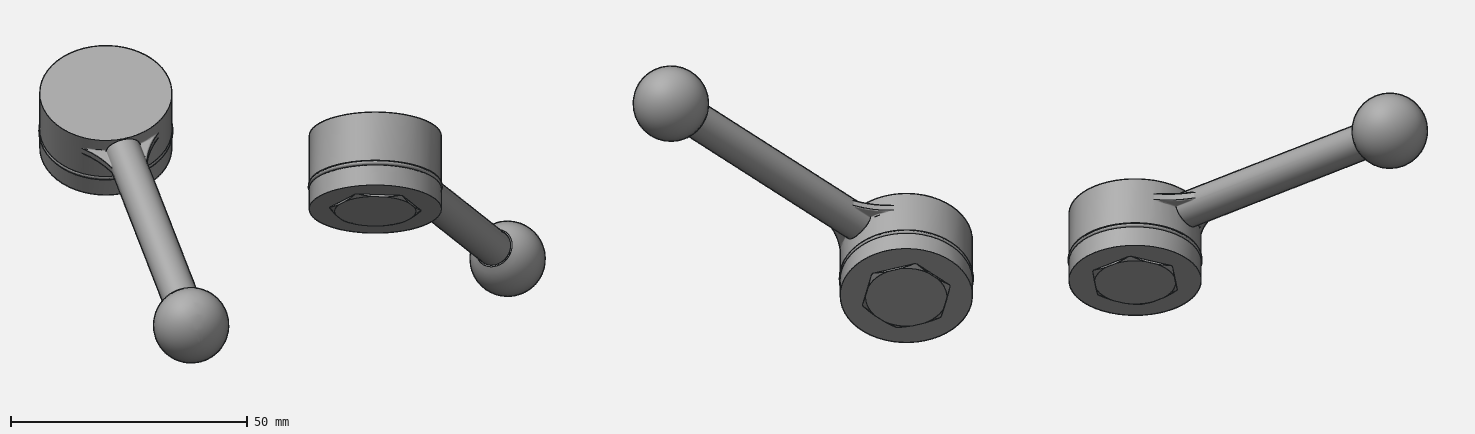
import cadquery as cq
import math

hub_radius = 28.0 / 2
hub_bottom_z = 0.5
hub_top_z = 17.1
ring_outer_radius = 28.4 / 2
ring_bottom_z = 5.1
ring_top_z = 6.15

hex_sides = 6
hex_across_flats = 17.0
hex_end_radius = 8.6
hex_chamfer_angle = 25.0
hex_height = 3.0

arm_radius = 7.7 / 2
ball_radius = 8.0
ball_face_radius = 8.38 / 2
overall_length = 89.14
overall_height = 21.0
arm_axis_z = overall_height - ball_radius
ball_center_x = overall_length - ring_outer_radius - ball_radius

web_thickness = 2.0
web_edge_radius = 0.3
web_joint_radius = 0.25
web_arc_radius = 20.0
web_hub_x = 11.2
web_arm_x = 18.4
web_overlap = 0.8


def make_hub():
    """Revolve the hub profile with the half-round ring bulging from a gap."""
    ring_section_radius = (ring_top_z - ring_bottom_z) / 2
    ring_center_radius = ring_outer_radius - ring_section_radius
    return (
        cq.Workplane("XZ")
        .moveTo(0, hub_bottom_z)
        .lineTo(hub_radius, hub_bottom_z)
        .lineTo(hub_radius, ring_bottom_z)
        .lineTo(ring_center_radius, ring_bottom_z)
        .threePointArc(
            (ring_outer_radius, ring_bottom_z + ring_section_radius),
            (ring_center_radius, ring_top_z),
        )
        .lineTo(hub_radius, ring_top_z)
        .lineTo(hub_radius, hub_top_z)
        .lineTo(0, hub_top_z)
        .close()
        .revolve(360, (0, 0), (0, 1))
    )


def make_hex_head():
    """Hexagon with corners on X, its lower corners trimmed by a cone."""
    corner_diameter = hex_across_flats / math.cos(math.pi / hex_sides)
    cone_top_radius = hex_end_radius + hex_height / math.tan(math.radians(hex_chamfer_angle))
    prism = cq.Workplane("XY").polygon(hex_sides, corner_diameter).extrude(hex_height)
    cone = cq.Workplane(cq.Solid.makeCone(hex_end_radius, cone_top_radius, hex_height))
    return prism.intersect(cone)


def make_arm():
    """Round bar from inside the hub to the ball centre."""
    return (
        cq.Workplane("YZ")
        .center(0, arm_axis_z)
        .circle(arm_radius)
        .extrude(ball_center_x)
    )


def make_ball():
    """Sphere cut flat on the side where the arm enters."""
    face_offset = math.sqrt(ball_radius**2 - ball_face_radius**2)
    return (
        cq.Workplane("XZ")
        .moveTo(-face_offset, 0)
        .lineTo(-face_offset, ball_face_radius)
        .threePointArc((0, ball_radius), (ball_radius, 0))
        .close()
        .revolve(360, (0, 0), (1, 0))
        .translate((ball_center_x, 0, arm_axis_z))
    )


def make_web():
    """Plate on the +Y side of the arm, with a concave, round-edged outer side."""
    hub_y = math.sqrt(hub_radius**2 - web_hub_x**2)
    slope_angle = math.atan2(arm_radius - hub_y, web_arm_x - web_hub_x)
    visible_chord = math.hypot(arm_radius - hub_y, web_arm_x - web_hub_x)
    visible_half_angle = math.asin(visible_chord / 2 / web_arc_radius)
    center_distance = web_arc_radius * math.cos(visible_half_angle)
    arc_center_x = (web_hub_x + web_arm_x) / 2 - center_distance * math.sin(slope_angle)
    arc_center_y = (hub_y + arm_radius) / 2 + center_distance * math.cos(slope_angle)
    half_angle = visible_half_angle + web_overlap / web_arc_radius

    def arc_point(angle_from_middle):
        """Point of the outer side, measured from the middle of its arc."""
        angle = slope_angle - math.pi / 2 + angle_from_middle
        return (
            arc_center_x + web_arc_radius * math.cos(angle),
            arc_center_y + web_arc_radius * math.sin(angle),
        )

    arm_end = arc_point(half_angle)
    return (
        cq.Workplane("XY")
        .workplane(offset=arm_axis_z - web_thickness / 2)
        .moveTo(*arc_point(-half_angle))
        .threePointArc(arc_point(0), arm_end)
        .lineTo(arm_end[0], 0)
        .lineTo(0, 0)
        .close()
        .extrude(web_thickness)
        .edges("%CIRCLE")
        .fillet(web_edge_radius)
    )


def lies_on(edge, body):
    """True when sample points along the edge sit on the skin of the body."""
    sample_positions = (0.3, 0.5, 0.7)
    tolerance = 1e-3
    skin = body.Shells()[0]
    return all(
        cq.Vertex.makeVertex(*edge.positionAt(position).toTuple()).distance(skin) < tolerance
        for position in sample_positions
    )


def make_hub_and_arm():
    """Hub and arm with a web on each side, the joints of the webs rounded."""
    core = make_hub().union(make_arm())
    web = make_web()
    joined = core.union(web).union(web.mirror("XZ"))
    web_zone = cq.selectors.BoxSelector(
        (web_hub_x - web_overlap, -hub_radius, arm_axis_z - web_thickness),
        (web_arm_x + web_overlap, hub_radius, arm_axis_z + web_thickness),
    )
    joint_edges = [edge for edge in joined.edges(web_zone).vals() if lies_on(edge, core.val())]
    return joined.newObject(joint_edges).fillet(web_joint_radius)


result = make_hub_and_arm().union(make_hex_head()).union(make_ball())